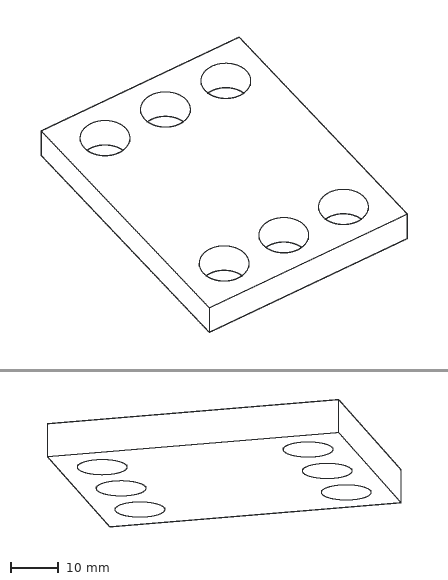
import cadquery as cq

length = 63.0
width = 49.75
thickness = 7.25

hole_diameter = 10.4
column_x = 22.3
first_hole_y = -15.0
left_pitch = 15.2
right_pitch = 15.0
holes_per_column = 3


def column_points(x, pitch):
    """Hole centres of one column, from front to back."""
    return [(x, first_hole_y + i * pitch) for i in range(holes_per_column)]


hole_points = column_points(-column_x, left_pitch) + column_points(column_x, right_pitch)

plate = cq.Workplane("XY").rect(length, width).extrude(thickness)
result = plate.faces(">Z").workplane(origin=(0, 0, thickness)).pushPoints(hole_points).hole(hole_diameter)